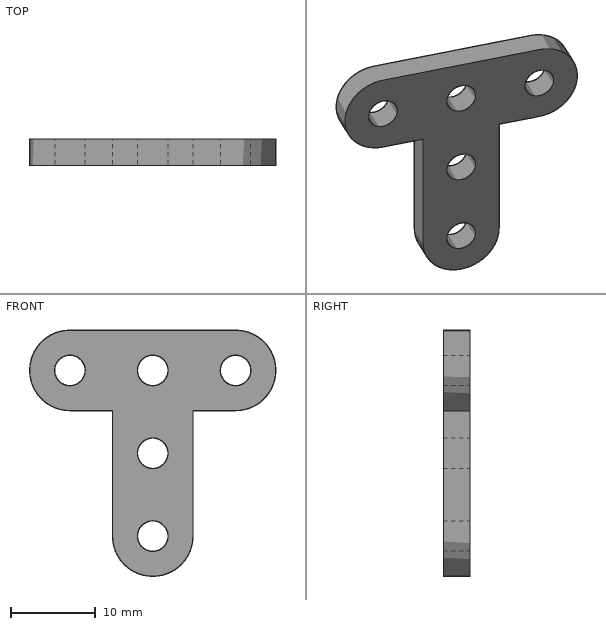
import cadquery as cq

arm_width = 9.525
hole_pitch = 9.779
hole_diameter = 3.57
thickness = 3.175

bar_span = 2 * hole_pitch
stem_span = 2 * hole_pitch
end_radius = arm_width / 2

hole_centers = [
    (-hole_pitch, 0),
    (0, 0),
    (hole_pitch, 0),
    (0, -hole_pitch),
    (0, -stem_span),
]


def make_bar():
    """Horizontal bar along X with fully rounded ends."""
    return (
        cq.Workplane("XZ")
        .slot2D(bar_span + arm_width, arm_width)
        .extrude(thickness)
    )


def make_stem():
    """Stem running down from the bar's center line to a fully rounded lower end."""
    return (
        cq.Workplane("XZ")
        .moveTo(-end_radius, 0)
        .lineTo(-end_radius, -stem_span)
        .threePointArc((0, -stem_span - end_radius), (end_radius, -stem_span))
        .lineTo(end_radius, 0)
        .close()
        .extrude(thickness)
    )


def make_holes():
    """Cylinders for the through holes, one at each grid point."""
    return (
        cq.Workplane("XZ")
        .pushPoints(hole_centers)
        .circle(hole_diameter / 2)
        .extrude(thickness)
    )


result = make_bar().union(make_stem()).clean().cut(make_holes())